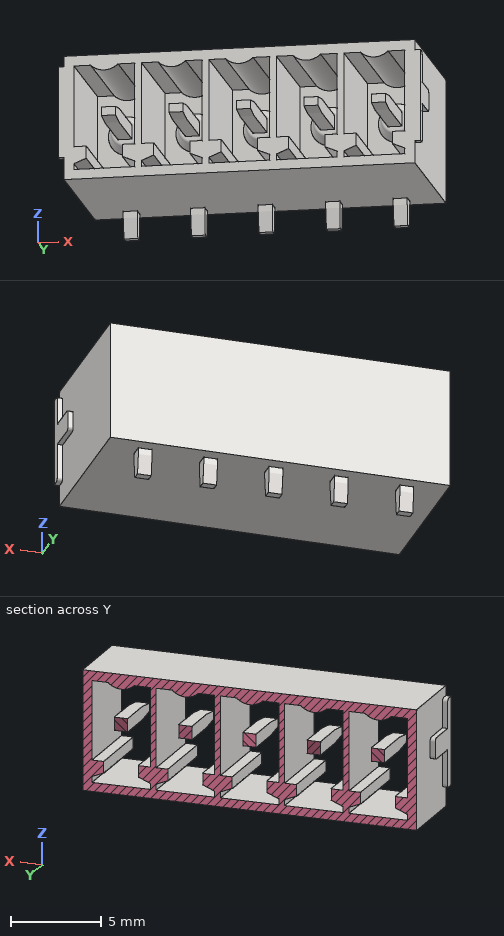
import cadquery as cq

TOTAL_WIDTH = 20.45
KEY_THICKNESS = 0.3
HOUSING_WIDTH = TOTAL_WIDTH - 2 * KEY_THICKNESS
HOUSING_DEPTH = 9.2
HOUSING_HEIGHT = 7.07

CONTACT_COUNT = 5
CONTACT_SPAN = 15.25
PITCH = CONTACT_SPAN / (CONTACT_COUNT - 1)
CONTACT_DROP = 2.95
CONTACT_Z = HOUSING_HEIGHT - CONTACT_DROP
CONTACT_XS = [(i - (CONTACT_COUNT - 1) / 2) * PITCH for i in range(CONTACT_COUNT)]

FLOOR_THICKNESS = 0.55
ROOF_THICKNESS = 0.6
POCKET_WIDTH = 3.43
POCKET_DEPTH = 6.95
POCKET_BOTTOM = FLOOR_THICKNESS
POCKET_TOP = HOUSING_HEIGHT - ROOF_THICKNESS
RIDGE_WIDTH = 1.55
RIDGE_DROP = 0.3
RAIL_WIDTH = 0.7
UPPER_POCKET_HEIGHT = 4.62
RAIL_TOP = POCKET_TOP - UPPER_POCKET_HEIGHT
RAIL_SIDE_HEIGHT = 0.7
RAIL_SLOPE_HEIGHT = 0.29

FLANGE_DEPTH = 0.6
FLANGE_TOP = POCKET_TOP
FLANGE_HEIGHT = 5.21
TONGUE_DEPTH = 2.51
TONGUE_DROP = 1.72
TONGUE_TOP = FLANGE_TOP - TONGUE_DROP
TONGUE_HEIGHT = 1.25
KEY_RADIUS = 0.2

COLLAR_BASE_RADIUS = 1.1
COLLAR_TOP_RADIUS = 0.8
COLLAR_LENGTH = 0.85
COLLAR_ROUNDING = 0.2

WIRE = 0.8
TIP_THICKNESS = 0.5
TAPER_LENGTH = 1.15
BAR_TIP_Y = 1.2
LEG_INSET = 0.8
LEG_REAR_Y = HOUSING_DEPTH - LEG_INSET
LEG_FRONT_Y = LEG_REAR_Y - WIRE
LEG_STANDOUT = 1.53
LEG_TIP_Z = -LEG_STANDOUT


def pocket(x):
    """Keyhole-shaped pocket with a rounded ridge in its roof and a rail on each side."""
    half = POCKET_WIDTH / 2
    throat = half - RAIL_WIDTH
    rail_side_bottom = RAIL_TOP - RAIL_SIDE_HEIGHT
    rail_bottom = rail_side_bottom - RAIL_SLOPE_HEIGHT
    return (
        cq.Workplane("XZ")
        .moveTo(x - half, POCKET_BOTTOM)
        .lineTo(x + half, POCKET_BOTTOM)
        .lineTo(x + half, rail_bottom)
        .lineTo(x + throat, rail_side_bottom)
        .lineTo(x + throat, RAIL_TOP)
        .lineTo(x + half, RAIL_TOP)
        .lineTo(x + half, POCKET_TOP)
        .lineTo(x + RIDGE_WIDTH / 2, POCKET_TOP)
        .threePointArc((x, POCKET_TOP - RIDGE_DROP), (x - RIDGE_WIDTH / 2, POCKET_TOP))
        .lineTo(x - half, POCKET_TOP)
        .lineTo(x - half, RAIL_TOP)
        .lineTo(x - throat, RAIL_TOP)
        .lineTo(x - throat, rail_side_bottom)
        .lineTo(x - half, rail_bottom)
        .close()
        .extrude(-POCKET_DEPTH)
    )


def collar(x):
    """Cone that narrows toward the front and has a rounded front edge."""
    return (
        cq.Workplane("XZ", origin=(x, POCKET_DEPTH, CONTACT_Z))
        .circle(COLLAR_BASE_RADIUS)
        .workplane(offset=COLLAR_LENGTH)
        .circle(COLLAR_TOP_RADIUS)
        .loft()
        .faces("<Y")
        .edges()
        .fillet(COLLAR_ROUNDING)
    )


def key_plate(depth, top, height):
    """Plate across the full width, from the front face back, with rounded rear corners."""
    return (
        cq.Workplane("XY")
        .box(TOTAL_WIDTH, depth, height, centered=(True, False, False))
        .translate((0, 0, top - height))
        .edges(">Y and |X")
        .fillet(KEY_RADIUS)
    )


def contact(x):
    """L-shaped square wire with both ends tapered to a flat tip."""
    wire_bottom = CONTACT_Z - WIRE / 2
    wire_top = CONTACT_Z + WIRE / 2
    taper = (WIRE - TIP_THICKNESS) / 2
    bar_taper_y = BAR_TIP_Y + TAPER_LENGTH
    leg_taper_z = LEG_TIP_Z + TAPER_LENGTH
    return (
        cq.Workplane("YZ", origin=(x - WIRE / 2, 0, 0))
        .polyline([
            (BAR_TIP_Y, wire_bottom + taper),
            (bar_taper_y, wire_bottom),
            (LEG_FRONT_Y, wire_bottom),
            (LEG_FRONT_Y, leg_taper_z),
            (LEG_FRONT_Y + taper, LEG_TIP_Z),
            (LEG_REAR_Y - taper, LEG_TIP_Z),
            (LEG_REAR_Y, leg_taper_z),
            (LEG_REAR_Y, wire_top),
            (bar_taper_y, wire_top),
            (BAR_TIP_Y, wire_top - taper),
        ])
        .close()
        .extrude(WIRE)
    )


def housing(contacts):
    """Block with end keys, pockets and collars, and a fitting passage for every contact."""
    flange = key_plate(FLANGE_DEPTH, FLANGE_TOP, FLANGE_HEIGHT)
    tongue = key_plate(TONGUE_DEPTH, TONGUE_TOP, TONGUE_HEIGHT)
    body = (
        cq.Workplane("XY")
        .box(HOUSING_WIDTH, HOUSING_DEPTH, HOUSING_HEIGHT, centered=(True, False, False))
        .union(flange)
        .union(tongue)
    )
    for x in CONTACT_XS:
        body = body.cut(pocket(x)).union(collar(x))
    for wire in contacts:
        body = body.cut(wire)
    return body.solids()


contacts = [contact(x) for x in CONTACT_XS]
shell = housing(contacts)

result = cq.Compound.makeCompound([shell.val(), *[wire.val() for wire in contacts]])